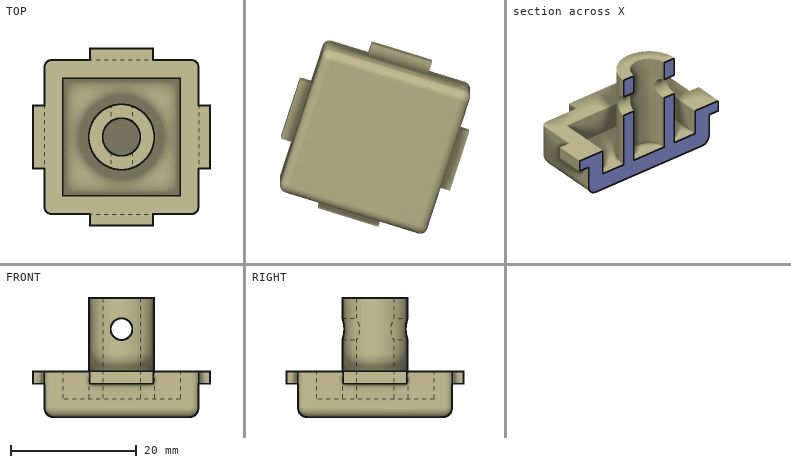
import cadquery as cq

overall_width = 28.2
body_width = 24.5
body_height = 7.3
corner_radius = 1.13
bottom_fillet = 1.5
pocket_width = 18.6
floor_thickness = 3.0

tab_width = 10.05
tab_thickness = 2.0

overall_height = 19.0
tube_diameter = 10.4
bore_diameter = 6.0
cross_hole_diameter = 3.4
cross_hole_height = 14.02


def centered_block(x_size, y_size, bottom, top):
    """Rectangular block centred on the Z axis between two heights."""
    return cq.Workplane("XY").workplane(offset=bottom).rect(x_size, y_size).extrude(top - bottom)


def make_body():
    """Block with rounded upright corners and a rounded bottom edge."""
    block = centered_block(body_width, body_width, 0, body_height)
    return block.edges("|Z").fillet(corner_radius).faces("<Z").edges().fillet(bottom_fillet)


def make_tabs():
    """Two crossed bars whose ends form the four side tabs."""
    tab_bottom = body_height - tab_thickness
    bar_x = centered_block(overall_width, tab_width, tab_bottom, body_height)
    bar_y = centered_block(tab_width, overall_width, tab_bottom, body_height)
    return bar_x.union(bar_y)


def make_tube():
    """Tube standing on the tray floor, bored down to the floor and drilled across."""
    tube_height = overall_height - floor_thickness
    tube = (
        cq.Workplane("XY")
        .workplane(offset=floor_thickness)
        .circle(tube_diameter / 2)
        .circle(bore_diameter / 2)
        .extrude(tube_height)
    )
    cross_hole = (
        cq.Workplane("XZ")
        .center(0, cross_hole_height)
        .circle(cross_hole_diameter / 2)
        .extrude(tube_diameter, both=True)
    )
    return tube.cut(cross_hole)


pocket = centered_block(pocket_width, pocket_width, floor_thickness, body_height)
tray = make_body().union(make_tabs()).cut(pocket)
result = tray.union(make_tube())